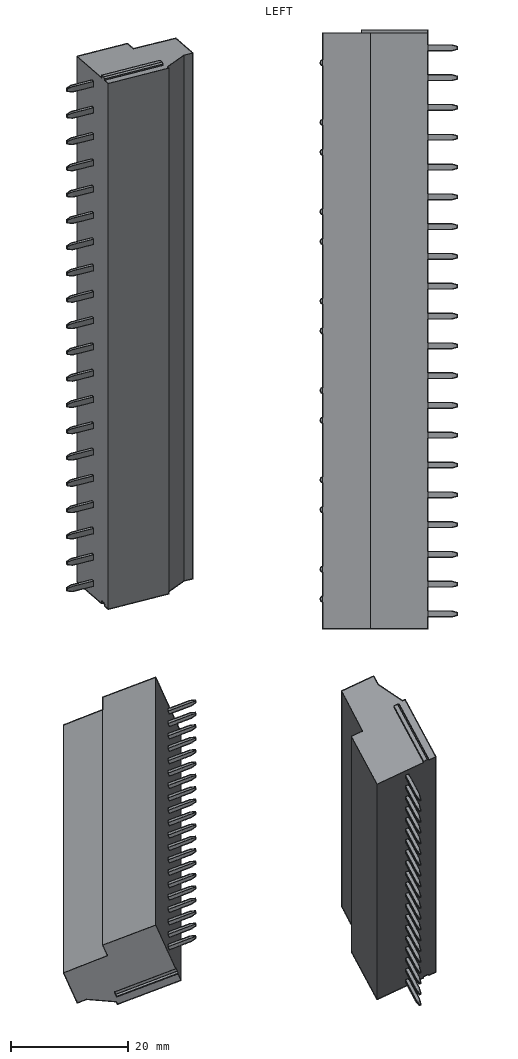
import cadquery as cq

pole_count = 20
overall_length = 102.1
rib_height = 0.5
strip_length = overall_length - rib_height
pitch = strip_length / pole_count

half_depth = 5.6
housing_height = 18.0
ledge_height = 9.8
wall_foot_x = -3.5
crown_rear_x = -3.4
crown_front_x = 2.8
slope_top_y = 16.2
slope_foot_x = 5.1
slope_foot_y = 11.7

rib_length = 11.3
rib_x = 3.3
rib_width = 1.0
rib_chamfer_width = 0.3
rib_chamfer_height = 0.26

pin_x = 0.1
pin_thickness = 0.6
pin_width = 1.0
pin_length = 5.0
tip_length = 0.9
tip_scale = 0.5

nub_x = -2.1
nub_radius = 0.5
nub_height = 0.4
joints_per_group = 3
plain_joint_in_group = 2


def make_housing():
    outline = [
        (-half_depth, 0),
        (half_depth, 0),
        (half_depth, slope_foot_y),
        (slope_foot_x, slope_foot_y),
        (crown_front_x, slope_top_y),
        (crown_front_x, housing_height),
        (crown_rear_x, housing_height),
        (wall_foot_x, ledge_height),
        (-half_depth, ledge_height),
    ]
    return cq.Workplane("XY").polyline(outline).close().extrude(strip_length)


def make_rib(base_z):
    """Rib along Y standing on the plane at base_z, with its outer top edge chamfered."""
    inner_x = rib_x
    outer_x = rib_x + rib_width
    top_z = base_z + rib_height
    section = [
        (inner_x, base_z),
        (outer_x, base_z),
        (outer_x, top_z - rib_chamfer_height),
        (outer_x - rib_chamfer_width, top_z),
        (inner_x, top_z),
    ]
    return cq.Workplane("XZ").polyline(section).close().extrude(-rib_length)


def make_pin(z):
    """Rectangular pin pointing along -Y with a tapered tip."""
    shank_length = pin_length - tip_length
    shank = (
        cq.Workplane("XZ", origin=(pin_x, 0, z))
        .rect(pin_thickness, pin_width)
        .extrude(shank_length)
    )
    return (
        shank.faces("<Y")
        .workplane(centerOption="CenterOfMass")
        .rect(pin_thickness, pin_width)
        .workplane(offset=tip_length)
        .rect(pin_thickness * tip_scale, pin_width * tip_scale)
        .loft(combine=True)
    )


def make_nub(z):
    """Shallow spherical cap on the crown."""
    cap_radius = (nub_radius**2 + nub_height**2) / (2 * nub_height)
    centre_y = housing_height + nub_height - cap_radius
    return cq.Workplane("XY", origin=(nub_x, centre_y, z)).sphere(cap_radius)


result = make_housing().union(make_rib(strip_length)).cut(make_rib(0))

for pole in range(pole_count):
    result = result.union(make_pin((pole + 0.5) * pitch))

for joint in range(1, pole_count):
    joint_from_top = pole_count - joint
    if joint_from_top % joints_per_group != plain_joint_in_group:
        result = result.union(make_nub(joint * pitch))